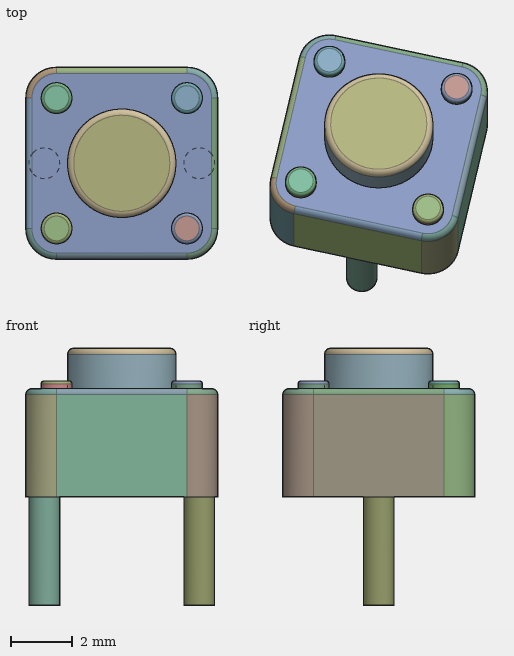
import cadquery as cq

housing_side = 6.2
housing_corner_radius = 1.0
housing_bottom = 3.5
housing_top = 7.0
housing_height = housing_top - housing_bottom

button_diameter = 3.5
button_top = 8.3
top_edge_radius = 0.2

rivet_diameter = 1.0
rivet_height = 0.25
rivet_edge_radius = 0.1
rivet_offset = housing_side / 2 - housing_corner_radius

pin_diameter = 1.0
pin_offset = 2.5


def make_housing():
    return (
        cq.Workplane("XY", origin=(0, 0, housing_bottom))
        .rect(housing_side, housing_side)
        .extrude(housing_height)
        .edges("|Z")
        .fillet(housing_corner_radius)
        .faces(">Z")
        .edges()
        .fillet(top_edge_radius)
    )


def make_rounded_disc(x, y, diameter, height, edge_radius):
    """Disc standing on the housing top, with its upper rim rounded."""
    return (
        cq.Workplane("XY", origin=(x, y, housing_top))
        .circle(diameter / 2)
        .extrude(height)
        .faces(">Z")
        .edges()
        .fillet(edge_radius)
    )


def make_pin(x):
    return cq.Workplane("XY").center(x, 0).circle(pin_diameter / 2).extrude(housing_bottom)


result = make_housing()
result = result.union(
    make_rounded_disc(0, 0, button_diameter, button_top - housing_top, top_edge_radius)
)

for side_x in (-1, 1):
    for side_y in (-1, 1):
        rivet = make_rounded_disc(
            side_x * rivet_offset,
            side_y * rivet_offset,
            rivet_diameter,
            rivet_height,
            rivet_edge_radius,
        )
        result = result.union(rivet)
    result = result.union(make_pin(side_x * pin_offset))